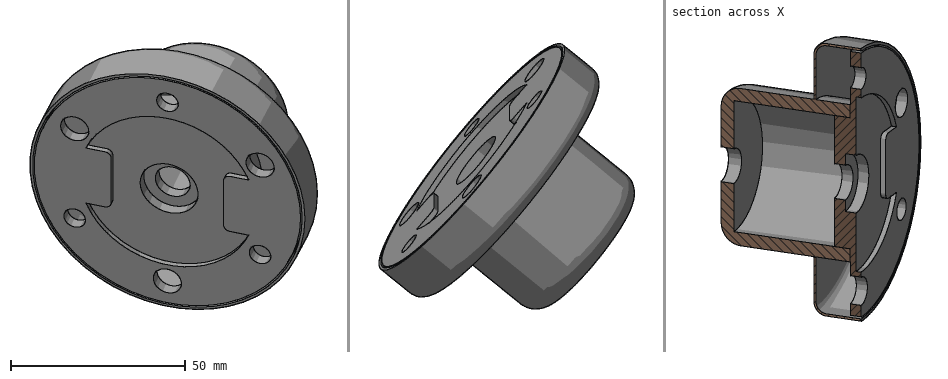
import cadquery as cq
import math

cover_radius = 41.5
cover_depth = 15.0
cover_wall = 0.8
cover_fillet = 4.0
total_depth = 44.2

knob_radius = 24.0
knob_wall = 4.15
knob_fillet = 6.3

plate_gap = 0.5
plate_thickness = 3.5
hub_depth = 8.5

recess_depth = 1.6
recess_radius = 26.5
tongue_half_height = 10.0
tongue_offset = 16.9
tongue_corner_radius = 2.0

bore_radius = 5.2
counterbore_radius = 8.7
counterbore_depth = 5.0
hole_count = 6
hole_circle_radius = 32.3
small_hole_radius = 3.2
large_hole_radius = 4.2

cover_inner_radius = cover_radius - cover_wall
plate_radius = cover_inner_radius - plate_gap
knob_cavity_radius = knob_radius - knob_wall


def disc(radius, y_start, y_end, x=0, z=0):
    """Cylinder along Y, from y_start to y_end, centred on (x, z)."""
    return (
        cq.Workplane("XZ", origin=(0, y_start, 0))
        .center(x, z)
        .circle(radius)
        .extrude(y_start - y_end)
    )


def rounded_disc(radius, y_start, y_end, fillet):
    """Cylinder along Y with its back edge rounded."""
    return disc(radius, y_start, y_end).faces(">Y").edges().fillet(fillet)


def make_cover():
    """Thin dish with a rounded back edge and an opening for the knob."""
    outside = rounded_disc(cover_radius, 0, cover_depth, cover_fillet)
    inside = rounded_disc(cover_inner_radius, 0, cover_depth - cover_wall, cover_fillet - cover_wall)
    opening = disc(knob_radius, 0, cover_depth)
    return outside.cut(inside).cut(opening)


def make_knob():
    """Cup with a rounded end and an end hole in line with the plate bore."""
    outside = rounded_disc(knob_radius, plate_thickness, total_depth, knob_fillet)
    cavity = disc(knob_cavity_radius, plate_thickness, total_depth - knob_wall)
    end_hole = disc(bore_radius, plate_thickness, total_depth)
    return outside.cut(cavity).cut(end_hole)


def make_recess():
    """Round recess volume, notched where the two tongues remain."""
    recess = disc(recess_radius, 0, recess_depth)
    tongue_length = recess_radius
    for side in (-1, 1):
        tongue = (
            cq.Workplane("XY")
            .box(tongue_length, recess_depth, 2 * tongue_half_height)
            .edges("|Y")
            .fillet(tongue_corner_radius)
            .translate((side * (tongue_offset + tongue_length / 2), recess_depth / 2, 0))
        )
        recess = recess.cut(tongue)
    return recess


def cut_hole_circle(plate):
    """Ring of through holes, alternately small and large, starting with a small one at +Z."""
    for index in range(hole_count):
        angle = math.pi / 2 + index * 2 * math.pi / hole_count
        radius = small_hole_radius if index % 2 == 0 else large_hole_radius
        x = hole_circle_radius * math.cos(angle)
        z = hole_circle_radius * math.sin(angle)
        plate = plate.cut(disc(radius, 0, plate_thickness, x, z))
    return plate


def make_plate():
    """Base plate with hub, recess, stepped bore and a ring of holes."""
    plate = disc(plate_radius, 0, plate_thickness)
    hub = disc(knob_cavity_radius, 0, hub_depth)
    plate = plate.union(hub).cut(make_recess())
    plate = plate.cut(disc(counterbore_radius, 0, counterbore_depth))
    plate = plate.cut(disc(bore_radius, 0, hub_depth))
    return cut_hole_circle(plate)


cover = make_cover()
knob = make_knob()
plate = make_plate()

bodies = [body.solids().val() for body in (cover, knob, plate)]
result = cq.Compound.makeCompound(bodies)